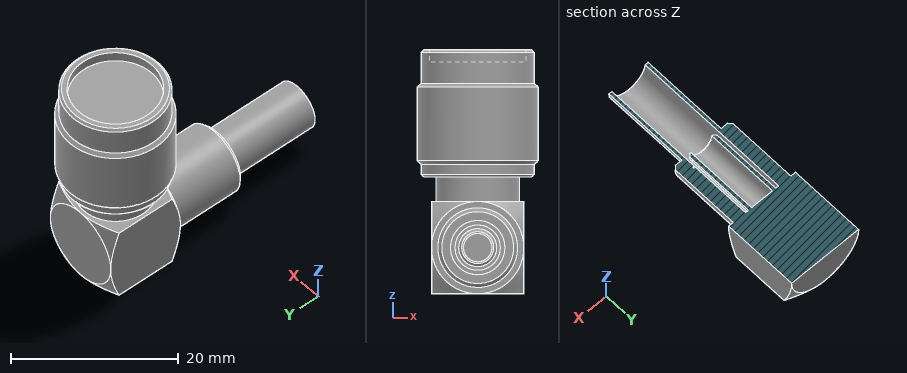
import cadquery as cq
import math

block_side = 11.0
block_half = block_side / 2
corner_bevel_angle = 30.0

overall_height = 29.1
nut_top = overall_height - block_half
nut_height = 15.17
nut_bottom = nut_top - nut_height
nut_end_radius = 6.75
nut_end_chamfer = 0.32
neck_radius = 5.0
grip_diameter = 14.5
grip_radius = grip_diameter / 2
grip_bevel_radial = grip_radius - nut_end_radius
grip_bevel_length = 0.43
grip_length = 9.65
grip_setback = 1.5
grip_bottom = nut_bottom + grip_setback
grip_top = grip_bottom + grip_length
recess_radius = 5.75
recess_depth = 1.45

overall_length = 35.95
arm_length = overall_length - grip_radius
ferrule_radius = 4.75
ferrule_end = 16.05
ferrule_chamfer = 0.45
tube_radius = 3.25
tube_bore_radius = 2.7

stem_radius = 2.25
stem_chamfer = 0.35
stem_bore_radius = 1.7


def vertical_cylinder(radius, bottom, top):
    return cq.Workplane("XY").workplane(offset=bottom).circle(radius).extrude(top - bottom)


def arm_cylinder(radius, start, end):
    """Cylinder along -Y; start and end are distances from the vertical axis."""
    return cq.Workplane("XZ").workplane(offset=start).circle(radius).extrude(end - start)


def make_block():
    """Cube with the corners of its front and back faces turned off conically."""
    corner_radius = block_half * math.sqrt(2)
    bevel_depth = (corner_radius - block_half) * math.tan(math.radians(corner_bevel_angle))
    shoulder = block_half - bevel_depth
    envelope = (
        cq.Workplane("XY")
        .moveTo(0, -block_half)
        .lineTo(block_half, -block_half)
        .lineTo(corner_radius, -shoulder)
        .lineTo(corner_radius, shoulder)
        .lineTo(block_half, block_half)
        .lineTo(0, block_half)
        .close()
        .revolve(360, (0, 0, 0), (0, 1, 0))
    )
    return cq.Workplane("XY").box(block_side, block_side, block_side).intersect(envelope)


def make_coupling_nut():
    """Chamfered sleeve with a wider bevelled grip band and a recessed top."""
    sleeve = vertical_cylinder(nut_end_radius, nut_bottom, nut_top)
    sleeve = sleeve.faces("<Z or >Z").edges().chamfer(nut_end_chamfer)
    grip = (
        cq.Workplane("XZ")
        .moveTo(0, grip_bottom)
        .lineTo(grip_radius - grip_bevel_radial, grip_bottom)
        .lineTo(grip_radius, grip_bottom + grip_bevel_length)
        .lineTo(grip_radius, grip_top - grip_bevel_length)
        .lineTo(grip_radius - grip_bevel_radial, grip_top)
        .lineTo(0, grip_top)
        .close()
        .revolve(360, (0, 0, 0), (0, 1, 0))
    )
    recess = vertical_cylinder(recess_radius, nut_top - recess_depth, nut_top)
    return sleeve.union(grip).cut(recess)


def make_cable_arm():
    """Ferrule and crimp tube, with a hollow stem inside the bore."""
    ferrule = arm_cylinder(ferrule_radius, 0, ferrule_end).faces("<Y").chamfer(ferrule_chamfer)
    tube = arm_cylinder(tube_radius, 0, arm_length)
    bore = arm_cylinder(tube_bore_radius, block_half, arm_length)
    stem = arm_cylinder(stem_radius, 0, ferrule_end).faces("<Y").chamfer(stem_chamfer)
    stem_bore = arm_cylinder(stem_bore_radius, block_half, ferrule_end)
    return ferrule.union(tube).cut(bore).union(stem).cut(stem_bore)


neck = vertical_cylinder(neck_radius, 0, nut_bottom)
result = make_block().union(neck).union(make_coupling_nut()).union(make_cable_arm())